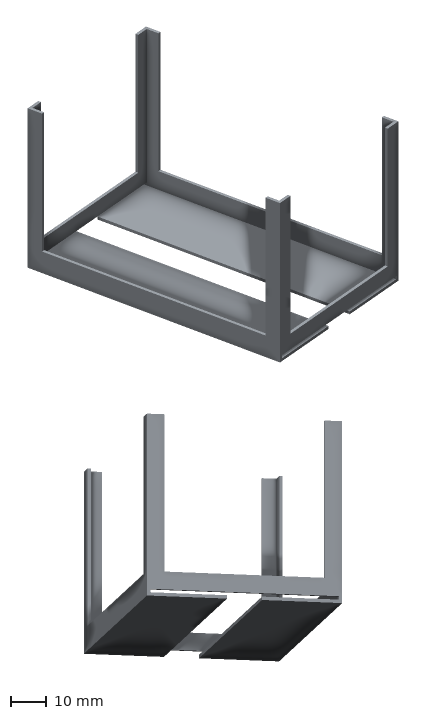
import cadquery as cq

length = 88.0
width = 56.0
height = 52.0

wall = 1.0
rim_height = 7.0
leg_width = 5.0

floor_gap = 10.0
end_slot_height = 1.0


def centred_box(size_x, size_y, bottom, top):
    """Box centred on the Z axis between two heights."""
    base = cq.Workplane("XY").workplane(offset=bottom)
    return base.rect(size_x, size_y).extrude(top - bottom)


inner_length = length - 2 * wall
inner_width = width - 2 * wall

tray = centred_box(length, width, 0, height)
tray = tray.cut(centred_box(inner_length, inner_width, wall, height))

tray = tray.cut(centred_box(length - 2 * leg_width, width, rim_height, height))
tray = tray.cut(centred_box(length, width - 2 * leg_width, rim_height, height))

tray = tray.cut(centred_box(length, floor_gap, 0, wall))

result = tray.cut(centred_box(length, inner_width, wall, wall + end_slot_height))